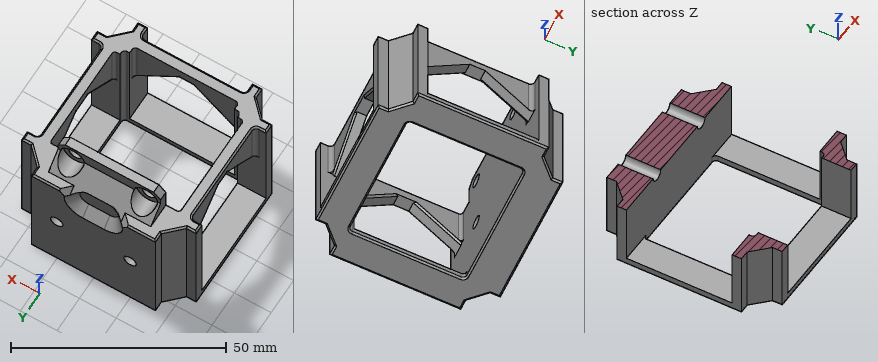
import cadquery as cq
import math

half_width = 23.8
body_height = 33.95
corner_half = 16.9
corner_step = 2.6
rim_chamfer = 0.48

shaft_half = 16.0
shaft_front = 15.75
shaft_radius = 1.0

floor_height = 2.15
window_half = 14.3
shaft_back = window_half
wall_outer = 20.65
wall_inner = 17.7
outer_radius = 1.15
inner_radius = 0.85
gable_top = 31.0
gable_eave = 20.05
gable_half = 2.0

tab_half = 13.95
tab_top = 41.95
tab_thickness = 2.4
tab_chamfer = 1.9
tab_back = shaft_back + tab_thickness
gusset_top = 38.3

hole_diameter = 3.4
head_diameter = 6.45
head_seat = 1.2
hole_spacing = 20.0
upper_hole_z = 37.85

channel_half = 6.95
slot_floor = 21.15
slot_half_length = 2.9
slot_end_radius = 2.4

overshoot = 2.4


def body_block():
    """Square tower with a stepped clip at each corner."""
    step = half_width - corner_step
    points = []
    for sx, sy in ((1, 1), (-1, 1), (-1, -1), (1, -1)):
        corner = [
            (sx * half_width, sy * corner_half),
            (sx * step, sy * corner_half),
            (sx * corner_half, sy * step),
            (sx * corner_half, sy * half_width),
        ]
        points += corner if sx * sy > 0 else corner[::-1]
    return cq.Workplane("XY").polyline(points).close().extrude(body_height)


def outer_recess(angle):
    """Recess in the outer face of one wall, open at the top."""
    depth = half_width - wall_outer
    recess = (
        cq.Workplane("XY", origin=(0, -wall_outer - depth / 2, floor_height))
        .rect(2 * window_half, depth)
        .extrude(body_height)
        .edges("|Z and >Y")
        .fillet(outer_radius)
    )
    return recess.rotate((0, 0, 0), (0, 0, 1), angle)


def inner_recess(angle):
    """Recess in the shaft side of one wall, open at the top."""
    recess = (
        cq.Workplane("XY", origin=(0, -wall_inner / 2, floor_height))
        .rect(2 * window_half, wall_inner)
        .extrude(body_height)
        .edges("|Z and <Y")
        .fillet(inner_radius)
    )
    return recess.rotate((0, 0, 0), (0, 0, 1), angle)


def gable_outline(slope_offset):
    """House outline with its two slopes moved outward by slope_offset."""
    slope = math.atan2(gable_top - gable_eave, window_half - gable_half)
    top_half = gable_half + slope_offset / math.sin(slope)
    eave = gable_eave + slope_offset / math.cos(slope)
    return [
        (-window_half, floor_height),
        (window_half, floor_height),
        (window_half, eave),
        (top_half, gable_top),
        (-top_half, gable_top),
        (-window_half, eave),
    ]


def outline_at(distance, points):
    """Closed outline in the XZ plane at y = -distance."""
    return cq.Workplane("XZ", origin=(0, -distance, 0)).polyline(points).close()


def gable_window(angle, chamfer_outside):
    """House-shaped opening with its slopes chamfered on one face of the wall."""
    narrow = gable_outline(0)
    wide = gable_outline(rim_chamfer)
    shaft_end = wall_inner - inner_radius
    outer_end = wall_outer + outer_radius
    if chamfer_outside:
        face, inward, wide_end = wall_outer, -rim_chamfer, outer_end
    else:
        face, inward, wide_end = wall_inner, rim_chamfer, shaft_end

    opening = outline_at(shaft_end, narrow).extrude(outer_end - shaft_end)
    mouth = outline_at(face, wide).extrude(wide_end - face)
    chamfer = (
        outline_at(face, wide)
        .workplane(offset=inward)
        .polyline(narrow)
        .close()
        .loft(ruled=True)
    )
    window = opening.union(chamfer).union(mouth)
    return window.rotate((0, 0, 0), (0, 0, 1), angle)


def shaft():
    depth = shaft_front + shaft_back
    return (
        cq.Workplane("XY", origin=(0, (shaft_back - shaft_front) / 2, 0))
        .rect(2 * shaft_half, depth)
        .extrude(body_height)
        .edges("|Z")
        .fillet(shaft_radius)
    )


def tab():
    """Upright plate with clipped top corners and a 45 degree gusset behind it."""
    gusset_reach = gusset_top - body_height
    overlap_z = body_height - overshoot
    profile = [
        (shaft_back, overlap_z),
        (shaft_back, tab_top),
        (tab_back, tab_top),
        (tab_back, gusset_top),
        (tab_back + gusset_reach, body_height),
        (tab_back + gusset_reach, overlap_z),
    ]
    return (
        cq.Workplane("YZ")
        .polyline(profile)
        .close()
        .extrude(tab_half, both=True)
        .edges("|Y and >Z")
        .chamfer(tab_chamfer)
    )


def back_bore(z, diameter, front_y):
    """Pair of bores running from the back face forward to front_y."""
    return (
        cq.Workplane("XZ", origin=(0, half_width, z))
        .pushPoints([(-hole_spacing / 2, 0), (hole_spacing / 2, 0)])
        .circle(diameter / 2)
        .extrude(half_width - front_y)
    )


def gusset_channel():
    """Trapezoidal channel whose floor continues the gusset slope."""
    rise = 2 * overshoot
    length = 2 * (half_width - tab_back)
    flare = math.sqrt(2) * rise
    slope_plane = cq.Plane(
        origin=(0, tab_back + gusset_top - body_height, body_height),
        xDir=(1, 0, 0),
        normal=(0, 1, -1),
    )
    profile = [
        (-channel_half, 0),
        (channel_half, 0),
        (channel_half + flare, -rise),
        (-channel_half - flare, -rise),
    ]
    return (
        cq.Workplane(slope_plane)
        .polyline(profile)
        .close()
        .extrude(length)
    )


def flared_slot():
    """Slot in the back face, its walls opening outward at 45 degrees."""
    depth = half_width - slot_floor
    slot_z = tab_back + gusset_top - slot_floor - slot_end_radius
    mouth_radius = slot_end_radius + depth
    return (
        cq.Workplane("XZ", origin=(0, half_width, slot_z))
        .slot2D(2 * (slot_half_length + mouth_radius), 2 * mouth_radius)
        .extrude(depth, taper=45)
    )


frame = body_block()
open_walls = ((0, True), (90, False), (-90, False))
for wall_angle, _ in open_walls:
    frame = frame.cut(outer_recess(wall_angle))
frame = frame.faces(">Z").edges().chamfer(rim_chamfer)

frame = frame.cut(shaft())
frame = frame.faces("<Z").edges().chamfer(rim_chamfer)
for wall_angle, chamfer_outside in open_walls:
    frame = frame.cut(inner_recess(wall_angle))
    frame = frame.cut(gable_window(wall_angle, chamfer_outside))

result = frame.union(tab())
for hole_z in (upper_hole_z - hole_spacing, upper_hole_z):
    result = result.cut(back_bore(hole_z, hole_diameter, shaft_back - overshoot))
result = result.cut(back_bore(upper_hole_z, head_diameter, shaft_back + head_seat))
result = result.cut(gusset_channel()).cut(flared_slot())